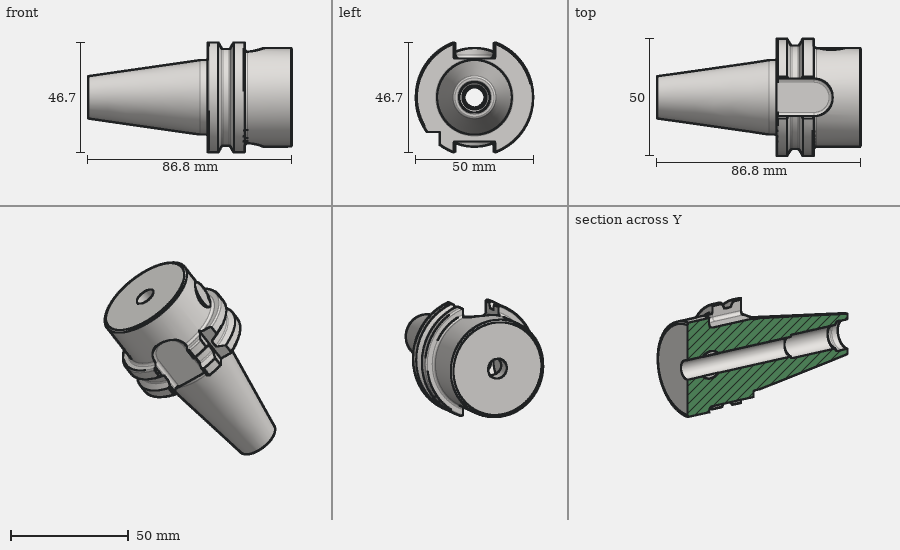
import cadquery as cq
import math


SMALL_END_RADIUS = 9.0
SMALL_END_ROUND = 0.9
TAPER_RADIUS = 15.9
TAPER_END_X = 47.7

FLANGE_FRONT_X = 50.8
FLANGE_BACK_X = 66.7
FLANGE_RADIUS = 25.0
FLANGE_FRONT_ROUND = 0.5
FLANGE_BACK_ROUND = 0.7
TAPER_ROOT_ROUND = 0.5

GROOVE_X = 58.6
GROOVE_RADIUS = 22.0
GROOVE_HALF_WIDTH = 3.4
GROOVE_FLOOR_ROUND = 0.7
GROOVE_WALL_ANGLE = 60
groove_wall_length = (FLANGE_RADIUS - GROOVE_RADIUS) / math.tan(math.radians(GROOVE_WALL_ANGLE))
groove_floor_half = GROOVE_HALF_WIDTH - groove_wall_length

LENGTH = 86.75
NOSE_RADIUS = 21.0
NOSE_ROOT_ROUND = 1.0
NOSE_CHAMFER_LENGTH = 0.5
NOSE_CHAMFER_HEIGHT = 1.0

MOUTH_RADIUS = 6.4
MOUTH_ROUND = 0.8
MOUTH_DEPTH = 6.1
RELIEF_START_X = 3.7
RELIEF_DEPTH = 0.2
RELIEF_SLOPE_LENGTH = 0.7
THREAD_RADIUS = 5.1
THREAD_END_X = 30.4
BORE_RADIUS = 4.25
COUNTERSINK_LENGTH = 0.9
BORE_CONE_LENGTH = 0.5

SLOT_HALF_WIDTH = 8.0
SLOT_CORNER_ROUND = 1.6
TOP_SLOT_FLOOR = 16.4
BOTTOM_SLOT_FLOOR = 18.65
SLOT_CHAMFER_WIDTH = 0.95
SLOT_CHAMFER_ANGLE = 30
slot_chamfer_depth = SLOT_CHAMFER_WIDTH * math.tan(math.radians(SLOT_CHAMFER_ANGLE))
slot_mouth_half = SLOT_HALF_WIDTH + SLOT_CHAMFER_WIDTH
slot_rim_z = math.sqrt(FLANGE_RADIUS**2 - slot_mouth_half**2)

NOTCH_OFFSET = 14.75

SCREW_X = 74.1
SCREW_RADIUS = 6.0
SCREW_INNER_Y = 5.2

EDGE_TOLERANCE = 0.01


def fillet_ring(body, x, radius, size):
    """Round the circular edge of the given radius that lies at x."""

    def is_ring(edge):
        box = edge.BoundingBox()
        in_plane = max(abs(box.xmin - x), abs(box.xmax - x)) < EDGE_TOLERANCE
        if not in_plane or edge.geomType() != "CIRCLE":
            return False
        return abs(edge.radius() - radius) < EDGE_TOLERANCE

    return body.newObject([e for e in body.edges().vals() if is_ring(e)]).fillet(size)


def revolved(points):
    """Solid of revolution about X from an (x, radius) outline."""
    return cq.Workplane("XZ").polyline(points).close().revolve(360, (0, 0, 0), (1, 0, 0))


def outer_body():
    body = revolved([
        (0, 0),
        (0, SMALL_END_RADIUS),
        (TAPER_END_X, TAPER_RADIUS),
        (FLANGE_FRONT_X, TAPER_RADIUS),
        (FLANGE_FRONT_X, FLANGE_RADIUS),
        (GROOVE_X - GROOVE_HALF_WIDTH, FLANGE_RADIUS),
        (GROOVE_X - groove_floor_half, GROOVE_RADIUS),
        (GROOVE_X + groove_floor_half, GROOVE_RADIUS),
        (GROOVE_X + GROOVE_HALF_WIDTH, FLANGE_RADIUS),
        (FLANGE_BACK_X, FLANGE_RADIUS),
        (FLANGE_BACK_X, NOSE_RADIUS),
        (LENGTH - NOSE_CHAMFER_LENGTH, NOSE_RADIUS),
        (LENGTH, NOSE_RADIUS - NOSE_CHAMFER_HEIGHT),
        (LENGTH, 0),
    ])
    for x, radius, size in [
        (0, SMALL_END_RADIUS, SMALL_END_ROUND),
        (FLANGE_FRONT_X, TAPER_RADIUS, TAPER_ROOT_ROUND),
        (FLANGE_FRONT_X, FLANGE_RADIUS, FLANGE_FRONT_ROUND),
        (GROOVE_X - groove_floor_half, GROOVE_RADIUS, GROOVE_FLOOR_ROUND),
        (GROOVE_X + groove_floor_half, GROOVE_RADIUS, GROOVE_FLOOR_ROUND),
        (FLANGE_BACK_X, FLANGE_RADIUS, FLANGE_BACK_ROUND),
        (FLANGE_BACK_X, NOSE_RADIUS, NOSE_ROOT_ROUND),
    ]:
        body = fillet_ring(body, x, radius, size)
    return body


def axial_bore():
    return revolved([
        (0, 0),
        (0, MOUTH_RADIUS),
        (RELIEF_START_X, MOUTH_RADIUS),
        (RELIEF_START_X + RELIEF_SLOPE_LENGTH, MOUTH_RADIUS + RELIEF_DEPTH),
        (MOUTH_DEPTH - RELIEF_SLOPE_LENGTH, MOUTH_RADIUS + RELIEF_DEPTH),
        (MOUTH_DEPTH, MOUTH_RADIUS),
        (MOUTH_DEPTH + COUNTERSINK_LENGTH, THREAD_RADIUS),
        (THREAD_END_X, THREAD_RADIUS),
        (THREAD_END_X + BORE_CONE_LENGTH, BORE_RADIUS),
        (LENGTH, BORE_RADIUS),
        (LENGTH, 0),
    ])


def drive_slot(floor):
    """Cutter for a drive slot on the +Z side, with its floor at the given height."""
    height = FLANGE_RADIUS - floor
    straight = FLANGE_BACK_X - FLANGE_FRONT_X
    channel = (
        cq.Workplane("XY", origin=(FLANGE_FRONT_X, 0, floor))
        .moveTo(0, -SLOT_HALF_WIDTH)
        .lineTo(straight, -SLOT_HALF_WIDTH)
        .radiusArc((straight, SLOT_HALF_WIDTH), -SLOT_HALF_WIDTH)
        .lineTo(0, SLOT_HALF_WIDTH)
        .close()
        .extrude(height)
        .edges("<Z and (not <X)")
        .fillet(SLOT_CORNER_ROUND)
    )
    outline = (
        cq.Sketch()
        .rect(2 * slot_mouth_half, 2 * FLANGE_RADIUS)
        .vertices()
        .fillet(SLOT_CORNER_ROUND + SLOT_CHAMFER_WIDTH)
    )
    above_floor = cq.Workplane("XY", origin=(FLANGE_FRONT_X, 0, floor)).box(
        straight, 2 * slot_mouth_half, height, centered=(False, True, False)
    )
    outline_z = floor - SLOT_CHAMFER_WIDTH + FLANGE_RADIUS
    front_chamfer = (
        cq.Workplane("YZ", origin=(FLANGE_FRONT_X, 0, outline_z))
        .placeSketch(outline)
        .extrude(slot_chamfer_depth, taper=90 - SLOT_CHAMFER_ANGLE)
        .intersect(above_floor)
    )
    rim_chamfer = (
        cq.Workplane("YZ", origin=(FLANGE_FRONT_X, 0, slot_rim_z))
        .polyline([
            (-SLOT_HALF_WIDTH, -slot_chamfer_depth),
            (SLOT_HALF_WIDTH, -slot_chamfer_depth),
            (slot_mouth_half, 0),
            (slot_mouth_half, height),
            (-slot_mouth_half, height),
            (-slot_mouth_half, 0),
        ])
        .close()
        .extrude(straight)
    )
    return channel.union(front_chamfer).union(rim_chamfer)


def orientation_notch():
    """Cutter for the notch, long enough to clear the round at the root of the nose as well."""
    size = FLANGE_RADIUS - NOTCH_OFFSET
    length = FLANGE_BACK_X + NOSE_ROOT_ROUND - FLANGE_FRONT_X
    return (
        cq.Workplane("XY", origin=(FLANGE_FRONT_X, NOTCH_OFFSET, -FLANGE_RADIUS))
        .box(length, size, size, centered=False)
    )


def radial_cylinder(inner_y):
    """Cylinder along Y from inner_y to a flat end level with the nose radius."""
    return (
        cq.Workplane("XZ", origin=(SCREW_X, inner_y, 0))
        .circle(SCREW_RADIUS)
        .extrude(inner_y - NOSE_RADIUS)
    )


def make_holder():
    body = outer_body().cut(axial_bore())
    body = fillet_ring(body, 0, MOUTH_RADIUS, MOUTH_ROUND)
    body = body.cut(drive_slot(TOP_SLOT_FLOOR))
    body = body.cut(drive_slot(BOTTOM_SLOT_FLOOR).rotate((0, 0, 0), (1, 0, 0), 180))
    body = body.cut(orientation_notch())
    return body.cut(radial_cylinder(0)).solids()


def make_screw():
    return radial_cylinder(SCREW_INNER_Y)


holder = make_holder()
screw = make_screw()

result = cq.Compound.makeCompound([holder.val(), screw.val()])